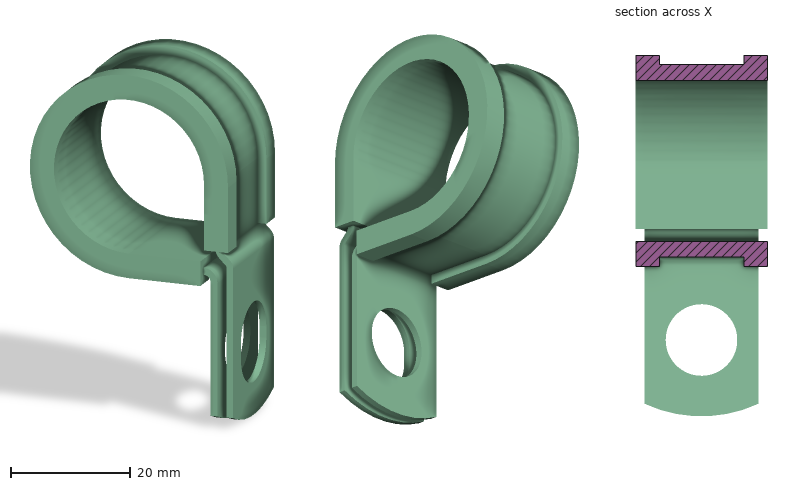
import cadquery as cq
import math


total_height = 60.6
total_length = 35.9

cushion_radius = 17.75
cushion_thickness = 4.3
cushion_width = 22.1
groove_width = 14.05
groove_depth = 1.6
upper_end_z = -11.45
lower_end_x = 12.8

strap_thickness = 1.2
strap_width = 19.15
lower_bend_radius = 1.8
jog_bend_radius = 1.2
jog_angle = math.radians(45)
jog_bottom_z = -14.55
leg_gap = 1.65
leg_tip_height = 2.1
hole_diameter = 12.0
hole_z = -30.05
outer_slot_length = 14.0

bore_radius = cushion_radius - cushion_thickness
groove_radius = cushion_radius - groove_depth
strap_radius = groove_radius - strap_thickness / 2
bottom_z = cushion_radius - total_height
outer_leg_x = total_length - cushion_radius - strap_thickness / 2
inner_leg_x = outer_leg_x - strap_thickness - leg_gap
leg_split_x = (inner_leg_x + outer_leg_x) / 2


def loop_band(inner_radius, outer_radius, width):
    """Three-quarter ring with a straight run at each end, centred on Y = 0."""
    return (
        cq.Workplane("XZ")
        .moveTo(lower_end_x, -outer_radius)
        .lineTo(0, -outer_radius)
        .threePointArc((-outer_radius, 0), (0, outer_radius))
        .threePointArc(
            (outer_radius * math.sqrt(0.5), outer_radius * math.sqrt(0.5)), (outer_radius, 0)
        )
        .lineTo(outer_radius, upper_end_z)
        .lineTo(inner_radius, upper_end_z)
        .lineTo(inner_radius, 0)
        .threePointArc(
            (inner_radius * math.sqrt(0.5), inner_radius * math.sqrt(0.5)), (0, inner_radius)
        )
        .threePointArc((-inner_radius, 0), (0, -inner_radius))
        .lineTo(lower_end_x, -inner_radius)
        .close()
        .extrude(width / 2, both=True)
    )


def make_cushion():
    body = loop_band(bore_radius, cushion_radius, cushion_width)
    groove = loop_band(groove_radius, cushion_radius, groove_width)
    return body.cut(groove)


def strap_path():
    """Mid-thickness line of the strap, from the inner leg round to the outer leg."""
    bend_start_x = inner_leg_x - lower_bend_radius
    bend_bottom_z = -strap_radius - lower_bend_radius
    bend_mid = lower_bend_radius * math.sqrt(0.5)

    bend_side = jog_bend_radius * (1 - math.cos(jog_angle))
    bend_drop = jog_bend_radius * math.sin(jog_angle)
    half_side = jog_bend_radius * (1 - math.cos(jog_angle / 2))
    half_drop = jog_bend_radius * math.sin(jog_angle / 2)
    slope_side = outer_leg_x - strap_radius - 2 * bend_side
    slope_drop = slope_side / math.tan(jog_angle)
    jog_top_z = jog_bottom_z + 2 * bend_drop + slope_drop

    return (
        cq.Workplane("XZ")
        .moveTo(inner_leg_x, bottom_z)
        .lineTo(inner_leg_x, bend_bottom_z)
        .threePointArc(
            (bend_start_x + bend_mid, bend_bottom_z + bend_mid), (bend_start_x, -strap_radius)
        )
        .lineTo(0, -strap_radius)
        .threePointArc((-strap_radius, 0), (0, strap_radius))
        .threePointArc(
            (strap_radius * math.sqrt(0.5), strap_radius * math.sqrt(0.5)), (strap_radius, 0)
        )
        .lineTo(strap_radius, jog_top_z)
        .threePointArc(
            (strap_radius + half_side, jog_top_z - half_drop),
            (strap_radius + bend_side, jog_top_z - bend_drop),
        )
        .lineTo(outer_leg_x - bend_side, jog_bottom_z + bend_drop)
        .threePointArc(
            (outer_leg_x - half_side, jog_bottom_z + half_drop), (outer_leg_x, jog_bottom_z)
        )
        .lineTo(outer_leg_x, bottom_z)
    )


def leg_outline():
    """Side outline of the strap: square at the top, with a shallow arc at the leg tips."""
    half_width = strap_width / 2
    tip_corner_z = bottom_z + leg_tip_height
    return (
        cq.Workplane("YZ")
        .moveTo(-half_width, cushion_radius)
        .lineTo(-half_width, tip_corner_z)
        .threePointArc((0, bottom_z), (half_width, tip_corner_z))
        .lineTo(half_width, cushion_radius)
        .close()
        .extrude(total_length, both=True)
    )


def make_strap():
    band = (
        cq.Workplane("XY", origin=(inner_leg_x, 0, bottom_z))
        .rect(strap_thickness, strap_width)
        .sweep(strap_path())
    )
    bolt_hole = (
        cq.Workplane("YZ")
        .center(0, hole_z)
        .circle(hole_diameter / 2)
        .extrude(total_length)
    )
    outer_slot = (
        cq.Workplane("YZ", origin=(leg_split_x, 0, hole_z))
        .slot2D(outer_slot_length, hole_diameter, 90)
        .extrude(total_length)
    )
    return band.intersect(leg_outline()).cut(bolt_hole).cut(outer_slot)


result = make_cushion().union(make_strap())